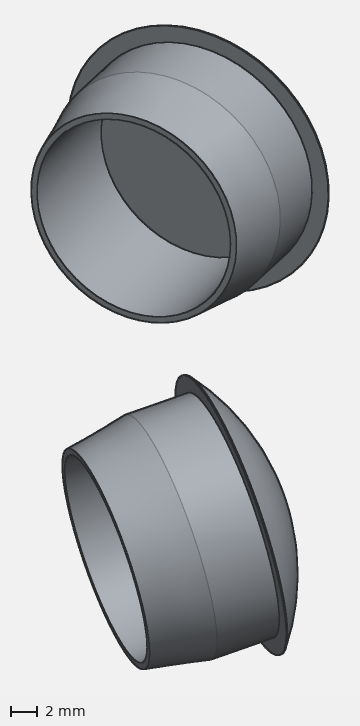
import cadquery as cq
import math

cap_radius = 11.0
rim_thickness = 0.1
cap_height = 4.0
body_radius = 9.64
tip_radius = 8.67
bore_radius = 8.16
body_length = 9.99
straight_length = body_length / 2

dome_rise = cap_height - rim_thickness
dome_radius = (cap_radius**2 + dome_rise**2) / (2 * dome_rise)
dome_center = cap_height - dome_radius
mid_radius = cap_radius / 2
mid_height = dome_center + math.sqrt(dome_radius**2 - mid_radius**2)

plug = (
    cq.Workplane("YZ")
    .moveTo(-body_length, 0)
    .lineTo(-body_length, tip_radius)
    .lineTo(-straight_length, body_radius)
    .lineTo(0, body_radius)
    .lineTo(0, cap_radius)
    .lineTo(rim_thickness, cap_radius)
    .threePointArc((mid_height, mid_radius), (cap_height, 0))
    .close()
    .revolve(360, (0, 0, 0), (1, 0, 0))
)

bore = (
    cq.Workplane("XZ")
    .circle(bore_radius)
    .extrude(body_length)
)

result = plug.cut(bore)